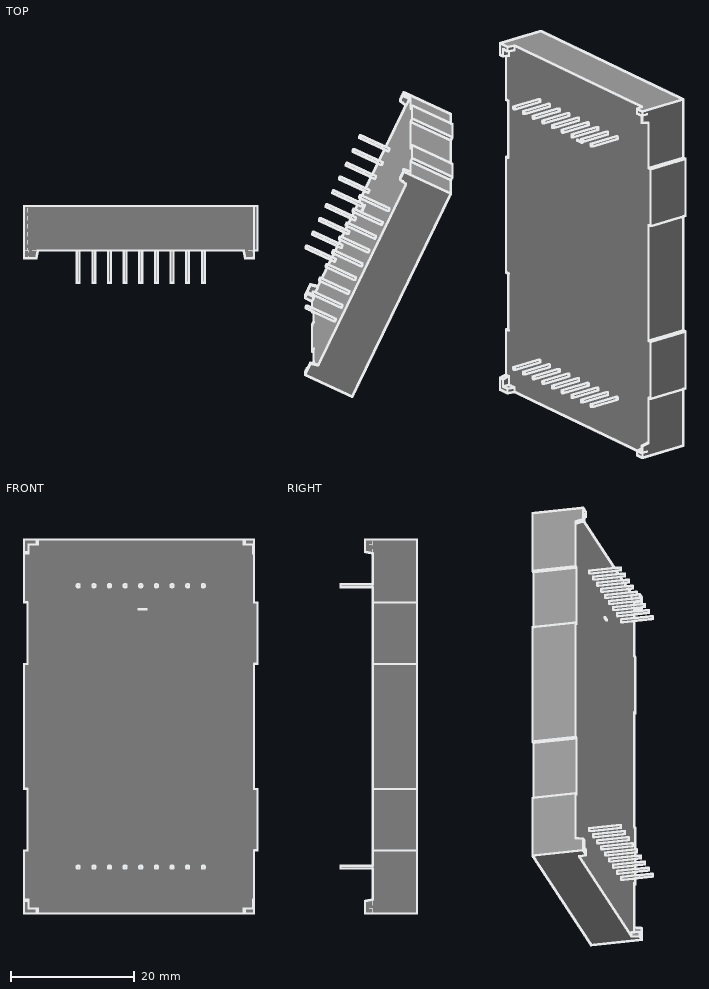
import cadquery as cq


overall_width = 38.0
height = 60.8
overall_depth = 12.5
body_depth = 7.25
key_depth = 0.6
key_length = 10.0
key_offset = 15.15
body_width = overall_width - key_depth
body_left = -overall_width / 2
body_right = body_left + body_width

foot_height = 1.25
foot_inner_half_width = 18.2
foot_inner_half_height = 29.6
foot_end_x = 16.95
foot_end_z = 28.35
foot_end_slope = 0.25

pins_per_row = 9
pin_pitch = 2.54
pin_row_spacing = 45.72
pin_diameter = 0.5
pin_length = overall_depth - body_depth

mark_length = 1.3
mark_width = 0.1
mark_depth = 0.1
mark_x = 0.3
mark_z = 19.05


def block(x_range, y_range, z_range):
    """Box spanning the given pair of coordinates along each axis."""
    size = [abs(b - a) for a, b in (x_range, y_range, z_range)]
    corner = [min(r) for r in (x_range, y_range, z_range)]
    return cq.Workplane("XY").box(*size, centered=False).translate(tuple(corner))


def make_housing():
    """Slab with two keyways on its -X side and two matching keys on its +X side."""
    depth_range = (0, body_depth)
    housing = block((body_left, body_right), depth_range, (-height / 2, height / 2))
    for centre in (-key_offset, key_offset):
        key_range = (centre - key_length / 2, centre + key_length / 2)
        housing = housing.cut(block((body_left, body_left + key_depth), depth_range, key_range))
        housing = housing.union(block((body_right, body_right + key_depth), depth_range, key_range))
    return housing


def arm_profile(plane, outer, end):
    """Side outline of a foot's arm from its outer edge to its sloped free end."""
    inward = -1 if outer > 0 else 1
    root = end + inward * foot_end_slope
    return (
        cq.Workplane(plane)
        .moveTo(outer, 0)
        .lineTo(outer, -foot_height)
        .lineTo(end, -foot_height)
        .lineTo(root, 0)
        .close()
    )


def make_foot(x_side, z_side):
    """L-shaped foot in the corner given by the signs of X and Z."""
    outer_x = body_right if x_side > 0 else body_left
    inner_x = x_side * foot_inner_half_width
    outer_z = z_side * height / 2
    inner_z = z_side * foot_inner_half_height
    arm_along_x = (
        arm_profile("XY", outer_x, x_side * foot_end_x)
        .extrude(outer_z - inner_z)
        .translate((0, 0, inner_z))
    )
    arm_along_z = (
        arm_profile("ZY", outer_z, z_side * foot_end_z)
        .extrude(inner_x - outer_x)
        .translate((inner_x, 0, 0))
    )
    return arm_along_x.union(arm_along_z)


def make_pins():
    """Two rows of round pins."""
    return (
        cq.Workplane("XZ")
        .rarray(pin_pitch, pin_row_spacing, pins_per_row, 2)
        .circle(pin_diameter / 2)
        .extrude(pin_length)
    )


def make_mark():
    """Material removed for the short groove on the pin face."""
    return cq.Workplane("XZ").center(mark_x, mark_z).rect(mark_length, mark_width).extrude(-mark_depth)


result = make_housing()
for x_side in (-1, 1):
    for z_side in (-1, 1):
        result = result.union(make_foot(x_side, z_side))
result = result.union(make_pins()).cut(make_mark())